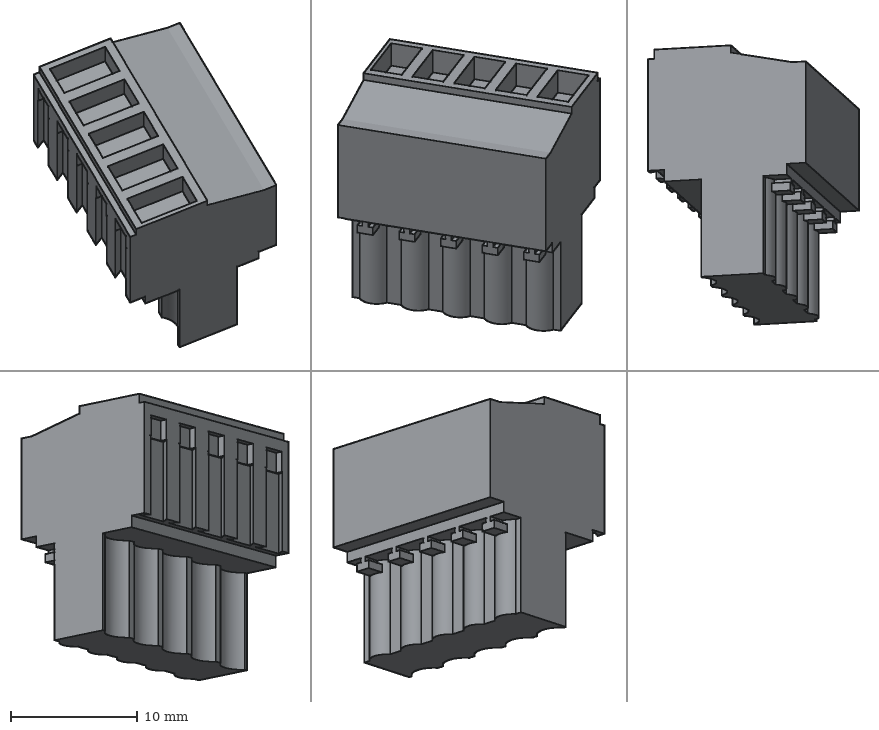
import cadquery as cq

POLES = 5
PITCH = 3.5
WIDTH = POLES * PITCH
DEPTH = 12.9
HEIGHT = 18.7
POLE_X = [(i - (POLES - 1) / 2) * PITCH for i in range(POLES)]

FRONT_LEDGE_Y = 0.52
FRONT_LEDGE_Z = 17.95
RIM_BACK_Y = 6.8
SLOPE_TOP_Z = 18.1
SLOPE_END_Y = 11.8
BACK_TOP_Z = 17.05
FRONT_BOTTOM_Z = 8.87
BACK_BOTTOM_Z = 8.8

FLANGE_FRONT_Y = 1.34
FLANGE_BACK_Y = 11.35
FLANGE_BOTTOM_Z = 7.92
STEM_FRONT_Y = 4.36
STEM_BACK_Y = 9.43

SCALLOP_WIDTH = 2.9
SCALLOP_DEPTH = 0.76
LOBE_WIDTH = 2.3
LOBE_DEPTH = 0.56

POCKET_WIDTH = 2.6
POCKET_FRONT_Y = 1.18
POCKET_BACK_Y = 6.05
POCKET_DEPTH = 2.0
POCKET_OFFSET_X = 0.1
CONTACT_HEIGHT = 5.0
CONTACT_TOP_Z = HEIGHT - POCKET_DEPTH
CONTACT_BOTTOM_Z = CONTACT_TOP_Z - CONTACT_HEIGHT

WINDOW_WIDTH = 1.86
WINDOW_DEPTH = 0.6
WINDOW_TOP_Z = 17.0
GROOVE_TOP_Z = 15.36
GROOVE_WIDTH = 1.92
GROOVE_DEPTH = 0.72
GROOVE_FLARE = 0.44

TAB_NECK_WIDTH = 0.5
TAB_HEAD_WIDTH = 1.3
TAB_HEAD_TOP_Z = 7.55
TAB_BOTTOM_Z = 6.88


def box(x_centre, width, y_range, z_range):
    """Axis-aligned box from an X centre and width and its Y and Z limits."""
    y0, y1 = y_range
    z0, z1 = z_range
    base = cq.Workplane("XY", origin=(x_centre, y0, z0))
    return base.box(width, y1 - y0, z1 - z0, centered=(True, False, False))


def upper_block():
    """Block and flange, extruded along X from their stepped side outline."""
    outline = [
        (FLANGE_FRONT_Y, FLANGE_BOTTOM_Z),
        (FLANGE_FRONT_Y, FRONT_BOTTOM_Z),
        (0, FRONT_BOTTOM_Z),
        (0, FRONT_LEDGE_Z),
        (FRONT_LEDGE_Y, FRONT_LEDGE_Z),
        (FRONT_LEDGE_Y, HEIGHT),
        (RIM_BACK_Y, HEIGHT),
        (RIM_BACK_Y, SLOPE_TOP_Z),
        (SLOPE_END_Y, BACK_TOP_Z),
        (DEPTH, BACK_TOP_Z),
        (DEPTH, BACK_BOTTOM_Z),
        (FLANGE_BACK_Y, BACK_BOTTOM_Z),
        (FLANGE_BACK_Y, FLANGE_BOTTOM_Z),
    ]
    return cq.Workplane("YZ").polyline(outline).close().extrude(WIDTH / 2, both=True)


def arc_column(x_centre, chord_y, width, rise):
    """Column on a chord at chord_y whose round side bulges toward +Y by the given rise."""
    half = width / 2
    return (
        cq.Workplane("XY")
        .moveTo(x_centre - half, chord_y)
        .threePointArc((x_centre, chord_y + rise), (x_centre + half, chord_y))
        .close()
        .extrude(FLANGE_BOTTOM_Z)
    )


def stem():
    """Plug stem with one scallop and one lobe per pole."""
    body = box(0, WIDTH, (STEM_FRONT_Y, STEM_BACK_Y), (0, FLANGE_BOTTOM_Z))
    for x in POLE_X:
        body = body.cut(arc_column(x, STEM_FRONT_Y, SCALLOP_WIDTH, SCALLOP_DEPTH))
        body = body.union(arc_column(x, STEM_BACK_Y, LOBE_WIDTH, LOBE_DEPTH))
    return body


def front_slot(x_centre):
    """Window and dovetail groove; the groove is open at the bottom of the front face."""
    window = box(x_centre, WINDOW_WIDTH, (0, WINDOW_DEPTH), (GROOVE_TOP_Z, WINDOW_TOP_Z))
    mouth = GROOVE_WIDTH / 2
    floor = mouth + GROOVE_FLARE
    groove = (
        cq.Workplane("XY", origin=(x_centre, 0, FRONT_BOTTOM_Z))
        .polyline([(-mouth, 0), (mouth, 0), (floor, GROOVE_DEPTH), (-floor, GROOVE_DEPTH)])
        .close()
        .extrude(GROOVE_TOP_Z - FRONT_BOTTOM_Z)
    )
    return window.union(groove)


def coding_tab(x_centre):
    """T-shaped tab joining the stem lobe and the underside of the flange."""
    y_range = (STEM_BACK_Y, FLANGE_BACK_Y)
    neck = box(x_centre, TAB_NECK_WIDTH, y_range, (TAB_HEAD_TOP_Z, FLANGE_BOTTOM_Z))
    head = box(x_centre, TAB_HEAD_WIDTH, y_range, (TAB_BOTTOM_Z, TAB_HEAD_TOP_Z))
    return neck.union(head)


def pocket_box(pole_x, bottom_z, top_z):
    """Box with the footprint of one top pocket."""
    return box(
        pole_x + POCKET_OFFSET_X,
        POCKET_WIDTH,
        (POCKET_FRONT_Y, POCKET_BACK_Y),
        (bottom_z, top_z),
    )


def contact_block(pole_x):
    """Contact filling the lower part of a top pocket."""
    return pocket_box(pole_x, CONTACT_BOTTOM_Z, CONTACT_TOP_Z)


def make_housing():
    """Housing with its stem, tabs, front slots and a deep top pocket for each contact."""
    body = upper_block().union(stem())
    for x in POLE_X:
        body = body.union(coding_tab(x))
        body = body.cut(front_slot(x))
        body = body.cut(pocket_box(x, CONTACT_BOTTOM_Z, HEIGHT))
    return body


housing = make_housing().solids()
contacts = [contact_block(x) for x in POLE_X]
result = cq.Compound.makeCompound([housing.val(), *[contact.val() for contact in contacts]])